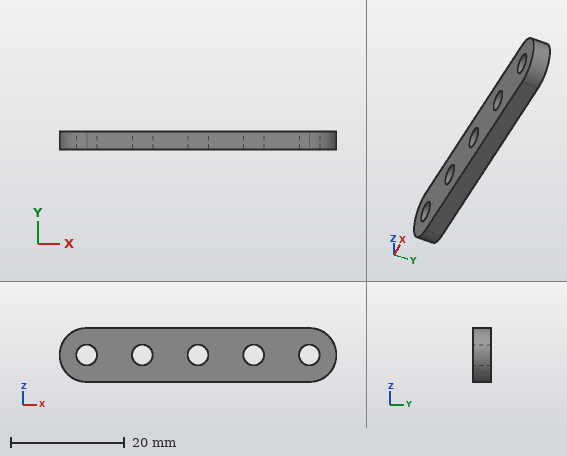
import cadquery as cq

hole_count = 5
hole_pitch = 9.779
hole_diameter = 3.6
bar_width = 9.525
bar_thickness = 3.175

bar_length = (hole_count - 1) * hole_pitch + bar_width


def make_bar():
    """Flat bar with full-round ends, centred on the origin, thickness along Y."""
    return (
        cq.Workplane("XZ", origin=(0, bar_thickness / 2, 0))
        .slot2D(bar_length, bar_width)
        .extrude(bar_thickness)
    )


def drill_holes(bar):
    """Drill an evenly spaced row of through holes along the bar's centre line."""
    return (
        bar.faces("<Y")
        .workplane(centerOption="CenterOfBoundBox")
        .rarray(hole_pitch, bar_width, hole_count, 1)
        .hole(hole_diameter)
    )


result = drill_holes(make_bar())